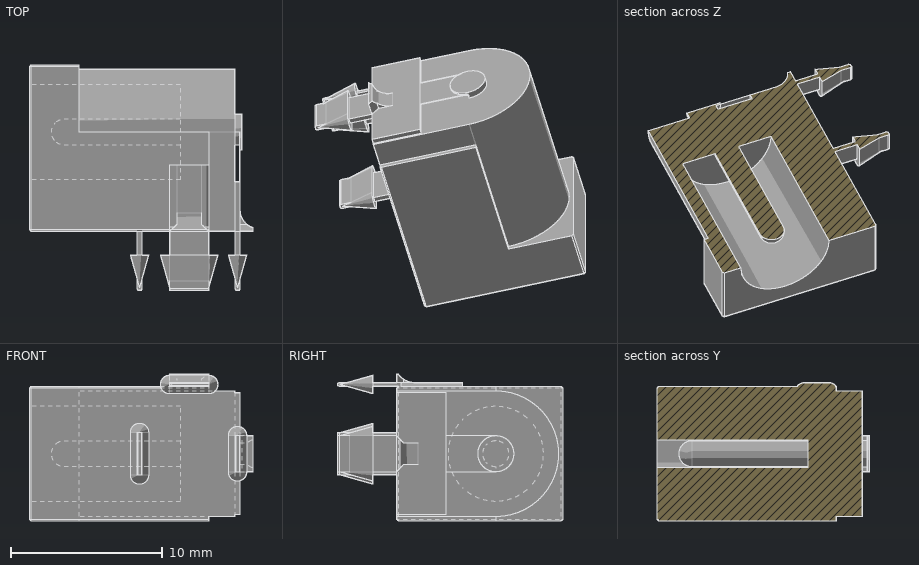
import cadquery as cq
import math

plate_length = 3.3
plate_depth = 11.0
housing_height = 8.9
block_end = 11.86
rear_end = 13.59
side_step = 0.3
edge_chamfer = 0.12

axis_y = 6.55
axis_z = housing_height / 2
barrel_radius = axis_z - side_step

foot_end = 13.93
foot_depth = 3.28
foot_inset = 0.42

bore_diameter = 6.29
bore_depth = 9.98
pin_diameter = 1.71
pin_tip = 1.46

rivet_neck_radius = 0.86
rivet_head_radius = 1.19
rivet_head_end = 14.05
leaf_thickness = 0.05

pin_length = 3.9
barb_start = 1.56
barb_radius = 0.61
barb_apex = 3.72
pin_root = 0.3
tip_chamfer_length = 0.12
tip_chamfer_depth = 0.06

top_pin_x = 10.56
top_pin_width = 2.6
top_pin_sheet = 0.25
top_pin_z = housing_height + top_pin_sheet / 2
top_strip_length = 4.37
top_lip_length = 1.2
top_lip_top = 9.7
top_lip_edge = 0.12

middle_pin_x = 7.29
middle_pin_width = 2.8
middle_pin_sheet = 0.35

rear_pin_x = (rear_end + foot_end) / 2
rear_pin_width = 2.4
rear_pin_sheet = foot_end - rear_end
rear_lip_length = 1.42
rear_lip_top = 14.8
rear_lip_edge = 0.24
mitre_length = 0.46

rounded_edge_width = math.sqrt(barb_radius**2 - (barb_radius - top_pin_sheet) ** 2)


def block(x0, x1, y0, y1, z0, z1):
    return cq.Workplane("XY").box(x1 - x0, y1 - y0, z1 - z0, centered=False).translate((x0, y0, z0))


def axial_cylinder(radius, x0, x1):
    """Cylinder along the jack axis."""
    return cq.Workplane("YZ", origin=(x0, 0, 0)).center(axis_y, axis_z).circle(radius).extrude(x1 - x0)


def make_housing():
    """Flanged block with a round barrel, stepped in towards the rear."""
    envelope = block(0, block_end, 0, plate_depth, 0, housing_height)
    envelope = envelope.edges("|X or <X").chamfer(edge_chamfer)
    behind_plate = block(plate_length, block_end, axis_y, plate_depth, 0, housing_height)
    housing = envelope.cut(behind_plate)
    barrel = axial_cylinder(barrel_radius, plate_length, rear_end)
    rear = block(block_end, rear_end, 0, axis_y, side_step, housing_height - side_step)
    foot = block(rear_end, foot_end, 0, foot_depth, foot_inset, housing_height - foot_inset)
    return housing.union(barrel).union(rear).union(foot)


def make_centre_pin():
    """Round pin with a spherical tip, fixed in the floor of the bore."""
    radius = pin_diameter / 2
    ball_x = pin_tip + radius
    shaft = axial_cylinder(radius, ball_x, bore_depth + radius)
    ball = cq.Workplane("XY").sphere(radius).translate((ball_x, axis_y, axis_z))
    return shaft.union(ball)


def make_rivet():
    """Stepped rivet end whose upper half keeps the full head radius."""
    neck = axial_cylinder(rivet_neck_radius, rear_end, foot_end)
    head = axial_cylinder(rivet_head_radius, foot_end - leaf_thickness, rivet_head_end)
    upper_half = axial_cylinder(rivet_head_radius, rear_end, foot_end).intersect(
        block(rear_end, foot_end, axis_y, plate_depth, 0, housing_height)
    )
    return neck.union(head).union(upper_half)


def make_leaf():
    """Thin contact leaf joining the foot to the rivet."""
    half_width = rear_pin_width / 2
    return block(
        foot_end - leaf_thickness, foot_end, foot_depth, axis_y, axis_z - half_width, axis_z + half_width
    )


def make_pin(width, sheet):
    """Barbed pin pointing to -Y, with its width along X and its thickness along Z."""
    half = sheet / 2
    tip_half = half - tip_chamfer_depth
    blade = (
        cq.Workplane("YZ")
        .moveTo(pin_root, half)
        .lineTo(-pin_length + tip_chamfer_length, half)
        .lineTo(-pin_length, tip_half)
        .lineTo(-pin_length, -tip_half)
        .lineTo(-pin_length + tip_chamfer_length, -half)
        .lineTo(pin_root, -half)
        .close()
        .extrude(width / 2, both=True)
    )
    barb_outline = [(-barb_start, barb_radius), (-barb_apex, 0), (-barb_start, -barb_radius)]
    pin = blade.union(cq.Workplane("YZ").polyline(barb_outline).close().extrude(width / 2, both=True))
    for side in (-1, 1):
        cone = cq.Solid.makeCone(
            barb_radius,
            0,
            barb_apex - barb_start,
            pnt=cq.Vector(side * width / 2, -barb_start, 0),
            dir=cq.Vector(0, -1, 0),
        )
        pin = pin.union(cq.Workplane(cone))
    return pin


def make_lip(width, sheet, length, height, lip_edge):
    """Flared lip on the outer sheet face, rising towards Y = 0 on an arc tangent to the sheet.

    Mitred sides widen it from the flat of the sheet to its full width.
    """
    half = sheet / 2
    run = length - lip_edge
    arc_radius = (run**2 + height**2) / (2 * height)
    half_angle = math.asin(run / arc_radius) / 2
    middle = (
        length - arc_radius * math.sin(half_angle),
        half + arc_radius * (1 - math.cos(half_angle)),
    )
    flare = (
        cq.Workplane("YZ")
        .moveTo(length, half)
        .threePointArc(middle, (lip_edge, half + height))
        .lineTo(0, half + height)
        .lineTo(0, -half)
        .lineTo(length, -half)
        .close()
        .extrude(width / 2, both=True)
    )
    narrow_half = width / 2 - rounded_edge_width
    plan = (
        cq.Workplane("XY", origin=(0, 0, -half))
        .polyline(
            [
                (-width / 2, 0),
                (-narrow_half, mitre_length),
                (-narrow_half, length),
                (narrow_half, length),
                (narrow_half, mitre_length),
                (width / 2, 0),
            ]
        )
        .close()
        .extrude(sheet + height)
    )
    return flare.intersect(plan)


def make_top_strip():
    """Sheet lying on the housing, its long edges rounded down to the housing top."""
    half_width = top_pin_width / 2
    flat_half = half_width - rounded_edge_width
    half_angle = math.asin(rounded_edge_width / barb_radius) / 2
    arc_x = flat_half + barb_radius * math.sin(half_angle)
    arc_z = top_pin_sheet - barb_radius * (1 - math.cos(half_angle))
    return (
        cq.Workplane("XZ", origin=(top_pin_x, top_strip_length, housing_height))
        .moveTo(-half_width, 0)
        .threePointArc((-arc_x, arc_z), (-flat_half, top_pin_sheet))
        .lineTo(flat_half, top_pin_sheet)
        .threePointArc((arc_x, arc_z), (half_width, 0))
        .close()
        .extrude(top_strip_length)
    )


def turn_to_rear(shape):
    """Turn a pin about Y so that its upper face looks to +X."""
    return shape.rotate((0, 0, 0), (0, 1, 0), 90)


top_lip = make_lip(
    top_pin_width,
    top_pin_sheet,
    top_lip_length,
    top_lip_top - housing_height - top_pin_sheet,
    top_lip_edge,
)
top_blade = make_pin(top_pin_width, top_pin_sheet).union(top_lip)
top_pin = top_blade.translate((top_pin_x, 0, top_pin_z)).union(make_top_strip())

middle_blade = make_pin(middle_pin_width, middle_pin_sheet)
middle_pin = turn_to_rear(middle_blade).translate((middle_pin_x, 0, axis_z))

rear_lip = make_lip(
    rear_pin_width,
    rear_pin_sheet,
    rear_lip_length,
    rear_lip_top - foot_end,
    rear_lip_edge,
)
rear_blade = make_pin(rear_pin_width, rear_pin_sheet).union(rear_lip)
rear_pin = turn_to_rear(rear_blade).translate((rear_pin_x, 0, axis_z))

bore = axial_cylinder(bore_diameter / 2, 0, bore_depth)

result = make_housing().cut(bore).union(make_centre_pin())
for piece in (make_rivet(), make_leaf(), top_pin, middle_pin, rear_pin):
    result = result.union(piece)